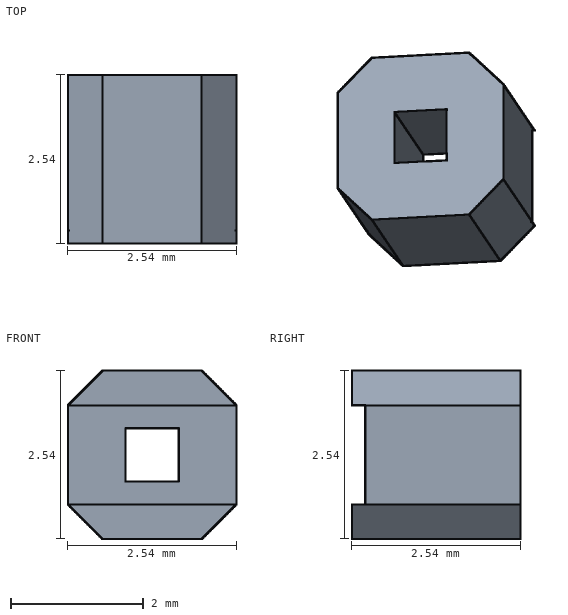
import cadquery as cq

BODY_SIZE = 2.54
CORNER_CHAMFER = 0.525
RECESS_DEPTH = 0.2
HOLE_SIZE = 0.8

FLAT_HEIGHT = BODY_SIZE - 2 * CORNER_CHAMFER
FRONT_Y = -BODY_SIZE / 2


def octagonal_body():
    """Cube whose four Y-parallel edges are bevelled."""
    cube = cq.Workplane("XY").box(BODY_SIZE, BODY_SIZE, BODY_SIZE)
    return cube.edges("|Y").chamfer(CORNER_CHAMFER)


def front_recess():
    """Groove running along X across the -Y face, as tall as the side flats."""
    groove = cq.Workplane("XY").box(BODY_SIZE, RECESS_DEPTH, FLAT_HEIGHT)
    return groove.translate((0, FRONT_Y + RECESS_DEPTH / 2, 0))


def square_hole():
    """Central square hole passing through the body along Y."""
    return cq.Workplane("XY").box(HOLE_SIZE, BODY_SIZE, HOLE_SIZE)


result = octagonal_body().cut(front_recess()).cut(square_hole())